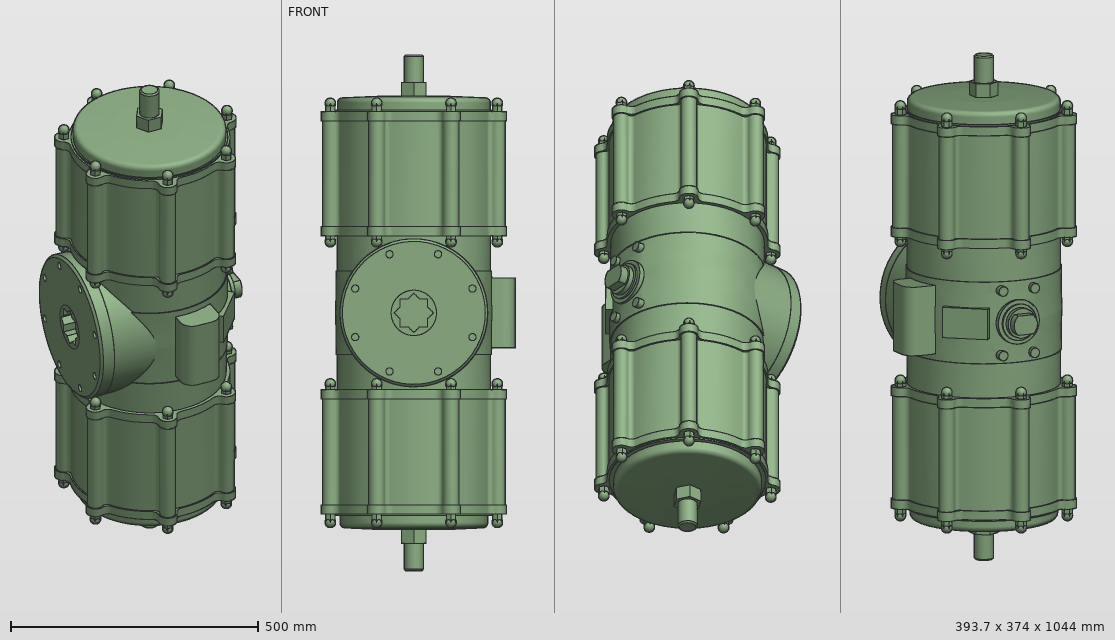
import cadquery as cq
import math


FULL_HEIGHT = 1044.0

NECK_RADIUS = 156.0
BAND_HALF_HEIGHT = 85.0
BAND_EDGE_RADIUS = 158.0
BAND_CREST_RADIUS = 159.0

INNER_FLANGE_Z = 156.0
OUTER_FLANGE_Z = 407.0
FLANGE_THICKNESS = 19.0
FLANGE_RADIUS = 163.0
FLANGE_LUG_RADIUS = 19.0
FLANGE_BLEND_RADIUS = 16.0
BARREL_RADIUS = 160.0
BARREL_LUG_RADIUS = 32.0 / 2
BARREL_BLEND_RADIUS = 9.0
BOLT_COUNT = 7
BOLT_CIRCLE_RADIUS = 173.0

NUT_DIAMETER = 22.0
OUTER_NUT_HEX_HEIGHT = 17.0
INNER_NUT_HEX_HEIGHT = 11.0

COVER_RIM_RADIUS = 159.0
COVER_RIM_HEIGHT = 3.0
COVER_EDGE_Z = 435.0
COVER_CENTRE_Z = 438.0
COVER_CENTRE_RADIUS = 72.0
COVER_FILLET = 10.0
UPPER_COVER_RADIUS = 310.0 / 2
LOWER_COVER_RADIUS = 300.0 / 2

SCREW_HEX_TOP_Z = 467.0
SCREW_HEX_FLATS = 50.0
SCREW_DIAMETER = 40.0
SCREW_CHAMFER = 3.0

PORT_FACE_Y = -179.0
PORT_FLANGE_RADIUS = 300.0 / 2
PORT_FLANGE_THICKNESS = 30.0
PORT_NECK_RADIUS = 149.0
PORT_CHAMFER = 5.0
PORT_HOLE_COUNT = 8
PORT_HOLE_CIRCLE_RADIUS = 128.0
PORT_HOLE_DIAMETER = 15.0
PORT_HOLE_DEPTH = 21.0

BOX_OUTER_X = 206.0
BOX_INNER_X = 104.0
BOX_LOW_Y = -16.0
BOX_HIGH_Y = 69.0
BOX_HALF_HEIGHT = 71.0
BOX_CORNER_RADIUS = 26.0

BOSS_DIAMETER = 20.0
BOSS_X = 35.0
BOSS_Z = 67.0
BOSS_TOP_Y = 165.0
PAD_ANGLE = 51.0
PAD_DISTANCE = 166.0
PAD_WIDTH = 94.0
PAD_HEIGHT = 63.0

SHAFT_DIAMETER = 92.0
SHAFT_BACK_Y = 163.0
COLLAR_STEPS = [(75.0, 167.0), (62.0, 177.0)]
TANG_DIAMETER = 52.0
TANG_FLATS = 40.0
TANG_END_Y = 195.0
STAR_SQUARE = 56.0
STAR_DEPTH = 271.0


def along_y(start_y, end_y, radius):
    """Cylinder on the drive axis between two Y positions."""
    start = cq.Workplane("XZ", origin=(0, start_y, 0))
    return start.circle(radius).extrude(start_y - end_y)


def bolt_points():
    step = 2 * math.pi / BOLT_COUNT
    angles = [math.pi / 2 + i * step for i in range(BOLT_COUNT)]
    return [(BOLT_CIRCLE_RADIUS * math.cos(a), BOLT_CIRCLE_RADIUS * math.sin(a)) for a in angles]


def lugged_plate(radius, lug_radius, blend_radius, bottom_z, top_z):
    """Round plate with a blended lug at each tie rod."""
    height = top_z - bottom_z
    base = cq.Workplane("XY", origin=(0, 0, bottom_z))
    lugs = base.pushPoints(bolt_points()).circle(lug_radius).extrude(height)
    plate = base.circle(radius).extrude(height).union(lugs)
    reach = BOLT_CIRCLE_RADIUS
    corner_cos = (radius**2 + reach**2 - lug_radius**2) / (2 * radius * reach)
    corner_angle = math.acos(corner_cos)
    corners = cq.Workplane("XY")
    for x, y in bolt_points():
        lug_angle = math.atan2(y, x)
        for angle in (lug_angle - corner_angle, lug_angle + corner_angle):
            point = (radius * math.cos(angle), radius * math.sin(angle), (bottom_z + top_z) / 2)
            corners = corners.add(plate.edges("|Z").edges(cq.NearestToPointSelector(point)))
    return plate.newObject(corners.vals()).fillet(blend_radius)


def cap_nuts(seat_z, hex_height, direction):
    """Domed hexagon nuts on one flange face; direction is +1 or -1 along Z."""
    seat = cq.Workplane("XY", origin=(0, 0, seat_z))
    hexagon = seat.transformed(rotate=(0, 0, 90)).polygon(6, NUT_DIAMETER).extrude(direction * hex_height)
    dome = seat.workplane(offset=direction * hex_height).sphere(NUT_DIAMETER / 2)
    nut = hexagon.union(dome).val()
    return cq.Workplane("XY").newObject([nut.translate(cq.Vector(x, y, 0)) for x, y in bolt_points()])


def end_cover(radius):
    """Shallow conical cover with a rounded edge and a narrow rim, and its stop screw."""
    profile = (
        cq.Workplane("XZ")
        .moveTo(0, OUTER_FLANGE_Z)
        .lineTo(COVER_RIM_RADIUS, OUTER_FLANGE_Z)
        .lineTo(COVER_RIM_RADIUS, OUTER_FLANGE_Z + COVER_RIM_HEIGHT)
        .lineTo(radius, OUTER_FLANGE_Z + COVER_RIM_HEIGHT)
        .lineTo(radius, COVER_EDGE_Z - COVER_FILLET)
        .radiusArc((radius - COVER_FILLET, COVER_EDGE_Z), -COVER_FILLET)
        .lineTo(COVER_CENTRE_RADIUS, COVER_CENTRE_Z)
        .lineTo(0, COVER_CENTRE_Z)
        .close()
    )
    return profile.revolve(360, (0, 0, 0), (0, 1, 0)).union(stop_screw())


def stop_screw():
    """Hexagon lock nut and the screw end standing out of it."""
    base = cq.Workplane("XY", origin=(0, 0, COVER_CENTRE_Z)).transformed(rotate=(0, 0, 90))
    hex_corners = SCREW_HEX_FLATS / math.cos(math.pi / 6)
    nut = base.polygon(6, hex_corners).extrude(SCREW_HEX_TOP_Z - COVER_CENTRE_Z)
    screw = base.circle(SCREW_DIAMETER / 2).extrude(FULL_HEIGHT / 2 - COVER_CENTRE_Z)
    return nut.union(screw.faces(">Z").chamfer(SCREW_CHAMFER))


def flange(bottom_z):
    top_z = bottom_z + FLANGE_THICKNESS
    return lugged_plate(FLANGE_RADIUS, FLANGE_LUG_RADIUS, FLANGE_BLEND_RADIUS, bottom_z, top_z)


def cylinder_unit():
    """Upper cylinder without its end parts: flanges, barrel and nuts."""
    barrel_bottom = INNER_FLANGE_Z + FLANGE_THICKNESS
    barrel_top = OUTER_FLANGE_Z - FLANGE_THICKNESS
    barrel = lugged_plate(BARREL_RADIUS, BARREL_LUG_RADIUS, BARREL_BLEND_RADIUS, barrel_bottom, barrel_top)
    unit = barrel.union(flange(INNER_FLANGE_Z)).union(flange(barrel_top))
    unit = unit.union(cap_nuts(OUTER_FLANGE_Z, OUTER_NUT_HEX_HEIGHT, 1))
    unit = unit.union(cap_nuts(INNER_FLANGE_Z, INNER_NUT_HEX_HEIGHT, -1))
    return unit


def centre_housing():
    """Round neck with a slightly ridged band around the middle."""
    profile = (
        cq.Workplane("XZ")
        .moveTo(0, -INNER_FLANGE_Z)
        .lineTo(NECK_RADIUS, -INNER_FLANGE_Z)
        .lineTo(NECK_RADIUS, -BAND_HALF_HEIGHT)
        .lineTo(BAND_EDGE_RADIUS, -BAND_HALF_HEIGHT)
        .lineTo(BAND_CREST_RADIUS, 0)
        .lineTo(BAND_EDGE_RADIUS, BAND_HALF_HEIGHT)
        .lineTo(NECK_RADIUS, BAND_HALF_HEIGHT)
        .lineTo(NECK_RADIUS, INNER_FLANGE_Z)
        .lineTo(0, INNER_FLANGE_Z)
        .close()
    )
    return profile.revolve(360, (0, 0, 0), (0, 1, 0))


def mounting_port():
    flange_back_y = PORT_FACE_Y + PORT_FLANGE_THICKNESS
    disc = along_y(flange_back_y, PORT_FACE_Y, PORT_FLANGE_RADIUS).faces("<Y").chamfer(PORT_CHAMFER)
    return disc.union(along_y(0, flange_back_y, PORT_NECK_RADIUS))


def port_holes():
    """Blind fixing holes, spaced evenly either side of the vertical."""
    face = cq.Workplane("XZ", origin=(0, PORT_FACE_Y, 0))
    first_angle = 180 / PORT_HOLE_COUNT
    holes = face.polarArray(PORT_HOLE_CIRCLE_RADIUS, first_angle, 360, PORT_HOLE_COUNT)
    return holes.circle(PORT_HOLE_DIAMETER / 2).extrude(-PORT_HOLE_DEPTH)


def terminal_box():
    size = (BOX_OUTER_X - BOX_INNER_X, BOX_HIGH_Y - BOX_LOW_Y, 2 * BOX_HALF_HEIGHT)
    centre = ((BOX_OUTER_X + BOX_INNER_X) / 2, (BOX_HIGH_Y + BOX_LOW_Y) / 2, 0)
    box = cq.Workplane("XY").box(*size).translate(centre)
    return box.edges("|Z and >X").fillet(BOX_CORNER_RADIUS)


def rear_bosses():
    corners = [(x, z) for x in (-BOSS_X, BOSS_X) for z in (-BOSS_Z, BOSS_Z)]
    top = cq.Workplane("XZ", origin=(0, BOSS_TOP_Y, 0)).pushPoints(corners)
    return top.circle(BOSS_DIAMETER / 2).extrude(BOSS_TOP_Y / 2)


def valve_pad():
    """Flat pad facing halfway between the side and the rear."""
    pad = cq.Workplane("XY").box(PAD_DISTANCE / 2, PAD_WIDTH, PAD_HEIGHT)
    pad = pad.translate((PAD_DISTANCE * 3 / 4, 0, 0))
    return pad.rotate((0, 0, 0), (0, 0, 1), PAD_ANGLE)


def make_housing():
    cylinder = cylinder_unit()
    upper = cylinder.union(end_cover(UPPER_COVER_RADIUS))
    lower = cylinder.union(end_cover(LOWER_COVER_RADIUS)).mirror("XY")
    body = centre_housing().union(upper).union(lower).union(mounting_port())
    body = body.union(terminal_box()).union(rear_bosses()).union(valve_pad())
    shaft_bore = along_y(SHAFT_BACK_Y, PORT_FACE_Y, SHAFT_DIAMETER / 2)
    return body.cut(port_holes()).cut(shaft_bore)


def make_drive_shaft():
    """Shaft with an eight-pointed socket in front and a flatted tang behind."""
    shaft = along_y(SHAFT_BACK_Y, PORT_FACE_Y, SHAFT_DIAMETER / 2)
    step_y = SHAFT_BACK_Y
    for diameter, end_y in COLLAR_STEPS:
        shaft = shaft.union(along_y(end_y, step_y, diameter / 2))
        step_y = end_y
    tang = along_y(TANG_END_Y, step_y, TANG_DIAMETER / 2)
    flats = cq.Workplane("XY").box(TANG_DIAMETER, 2 * TANG_END_Y, TANG_FLATS)
    shaft = shaft.union(tang.intersect(flats.translate((0, TANG_END_Y, 0))))
    face = cq.Workplane("XZ", origin=(0, PORT_FACE_Y, 0))
    for angle in (0, 45):
        square = face.transformed(rotate=(0, 0, angle)).rect(STAR_SQUARE, STAR_SQUARE)
        shaft = shaft.cut(square.extrude(-STAR_DEPTH))
    return shaft


housing = make_housing()
drive_shaft = make_drive_shaft()

result = cq.Compound.makeCompound([housing.solids().val(), drive_shaft.solids().val()])